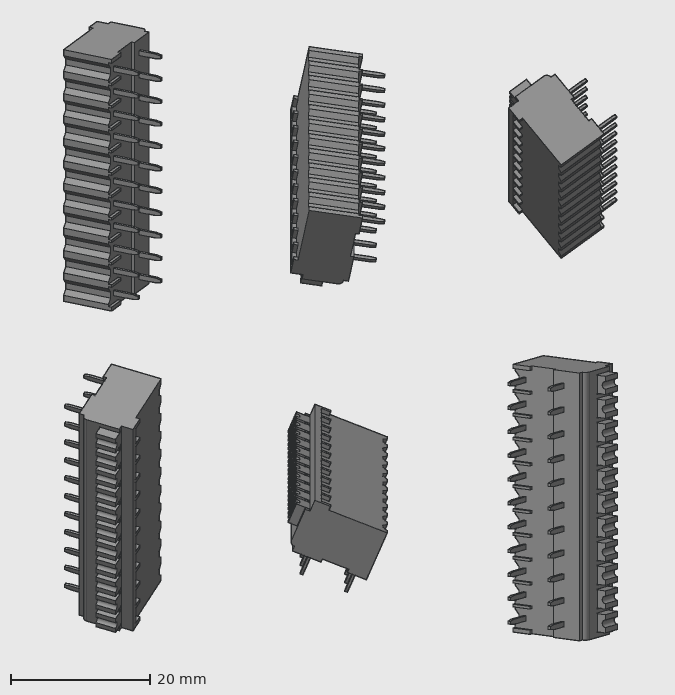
import cadquery as cq

height = 39.2
cells = 11
pitch = 3.5
first_cell_z = (height - (cells - 1) * pitch) / 2
cell_centres = [first_cell_z + i * pitch for i in range(cells)]

lip_thickness = 0.63
body_right = 8.43
foot_height = 0.5
floor_x = body_right - foot_height

shoulder_y = 11.52
crown_y = 12.25
crown_left = 1.8
crown_radius = crown_y - shoulder_y
crown_right = 7.7
lip_bottom_y = 10.5
tooth_bottom_y = 9.05
channel_low_y = 2.95
channel_high_y = 7.05

rib_height = 0.6
cell_height = pitch - rib_height
foot_rib_height = 0.4
foot_cell_height = pitch - foot_rib_height

lever_top_y = 13.65
lever_length = 3.1
lever_end = crown_left + lever_length
lever_height = 2.65
lever_notch_radius = 0.55

groove_depth = 0.65
groove_mouth = 2.45
groove_floor = 0.95

pin_rows_y = (1.72, 8.65)
pin_end_x = 11.9
pin_taper_x = 11.1
pin_width = 0.75
pin_tip_width = 0.45
pin_thickness = 0.45
pin_embed = 0.4


def cell_box(x0, x1, y0, y1, z_centre, z_size):
    """Box centred in Z on a cell."""
    corner = (x0, y0, z_centre - z_size / 2)
    return cq.Workplane("XY", origin=corner).box(x1 - x0, y1 - y0, z_size, centered=False)


def make_body():
    """Constant section along Z: body, lip with tooth depth, two feet and rounded crown."""
    return (
        cq.Workplane("XY")
        .moveTo(lip_thickness, 0)
        .lineTo(body_right, 0)
        .lineTo(body_right, channel_low_y)
        .lineTo(floor_x, channel_low_y)
        .lineTo(floor_x, channel_high_y)
        .lineTo(body_right, channel_high_y)
        .lineTo(body_right, shoulder_y)
        .lineTo(crown_right, shoulder_y)
        .radiusArc((crown_right - crown_radius, crown_y), -crown_radius)
        .lineTo(crown_left, crown_y)
        .lineTo(crown_left, shoulder_y)
        .lineTo(0, shoulder_y)
        .lineTo(0, tooth_bottom_y)
        .lineTo(lip_thickness, tooth_bottom_y)
        .close()
        .extrude(height)
    )


def make_groove(z):
    """Trapezoidal groove along X."""
    return (
        cq.Workplane("YZ")
        .polyline([
            (0, z - groove_mouth / 2),
            (groove_depth, z - groove_floor / 2),
            (groove_depth, z + groove_floor / 2),
            (0, z + groove_mouth / 2),
        ])
        .close()
        .extrude(body_right)
    )


def make_cell_cuts(z):
    """Gap between lip teeth, opening in the lower foot, lever pocket and groove."""
    tooth_gap = cell_box(0, lip_thickness, tooth_bottom_y, lip_bottom_y, z, cell_height)
    foot_gap = cell_box(floor_x, body_right, 0, channel_low_y, z, foot_cell_height)
    pocket = cell_box(crown_left, lever_end, shoulder_y, crown_y, z, cell_height)
    return [tooth_gap, foot_gap, pocket, make_groove(z)]


def make_lever(z):
    """Lever block with a half-round notch in its outer end."""
    lever = cell_box(crown_left, lever_end, shoulder_y, lever_top_y, z, lever_height)
    notch = (
        cq.Workplane("YZ")
        .center(lever_top_y, z)
        .circle(lever_notch_radius)
        .extrude(body_right)
    )
    return lever.cut(notch)


def make_pin(y, z):
    """Flat pin along X, tapering in Z at its tip."""
    return (
        cq.Workplane("XZ", origin=(0, y, z))
        .polyline([
            (floor_x - pin_embed, -pin_width / 2),
            (pin_taper_x, -pin_width / 2),
            (pin_end_x, -pin_tip_width / 2),
            (pin_end_x, pin_tip_width / 2),
            (pin_taper_x, pin_width / 2),
            (floor_x - pin_embed, pin_width / 2),
        ])
        .close()
        .extrude(pin_thickness / 2, both=True)
    )


result = make_body()
for cell_z in cell_centres:
    for cutter in make_cell_cuts(cell_z):
        result = result.cut(cutter)
    result = result.union(make_lever(cell_z))
    for row_y in pin_rows_y:
        result = result.union(make_pin(row_y, cell_z))